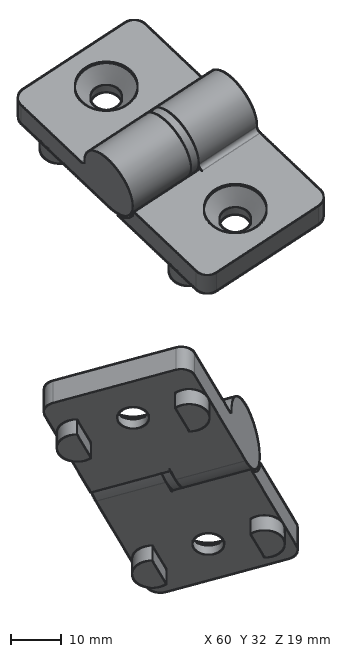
import cadquery as cq
import math

length = 60.0
width = 32.0
plate_thickness = 6.0
corner_radius = 2.9

knuckle_radius = 7.5
axis_height = knuckle_radius
fillet_radius = 1.0
clearance_radius = 8.0
washer_thickness = 2.0

hole_offset = length / 3
bore_diameter = 6.3
sink_diameter = 12.4
lip_depth = 0.5
sink_depth = (sink_diameter - bore_diameter) / 2

peg_radius = 4.0
peg_length = 4.0
peg_depth = 5.5


def extrude_y(profile, start, end):
    """Extrude an XZ profile between two Y positions."""
    return profile.extrude(start - end).translate((0, start, 0))


def axis_cylinder(radius, start, end):
    """Cylinder about the knuckle axis between two Y positions."""
    return extrude_y(cq.Workplane("XZ").center(0, axis_height).circle(radius), start, end)


def make_plate():
    """Left-hand plate, reaching from its outer end to the knuckle axis."""
    return (
        cq.Workplane("XY")
        .rect(length, width)
        .extrude(plate_thickness)
        .edges("|Z")
        .fillet(corner_radius)
        .intersect(cq.Workplane("XY").box(length, width, length).translate((-length / 2, 0, 0)))
    )


def make_root_fillet(start, end):
    """Concave fillet tangent to the plate top and the knuckle."""
    center_z = plate_thickness + fillet_radius
    center_distance = knuckle_radius + fillet_radius
    drop = axis_height - center_z
    center_x = -math.sqrt(center_distance**2 - drop**2)
    contact_x = center_x * knuckle_radius / center_distance
    contact_z = axis_height - drop * knuckle_radius / center_distance
    diagonal = fillet_radius * math.sqrt(0.5)
    profile = (
        cq.Workplane("XZ")
        .moveTo(center_x, plate_thickness)
        .threePointArc((center_x + diagonal, center_z - diagonal), (contact_x, contact_z))
        .lineTo(0, axis_height)
        .lineTo(0, plate_thickness)
        .close()
    )
    return extrude_y(profile, start, end)


def make_screw_hole():
    """Through bore with a countersink and a short cylindrical lip."""
    bore_radius = bore_diameter / 2
    sink_radius = sink_diameter / 2
    lip_bottom = plate_thickness - lip_depth
    return (
        cq.Workplane("XZ")
        .polyline([
            (0, 0),
            (bore_radius, 0),
            (bore_radius, lip_bottom - sink_depth),
            (sink_radius, lip_bottom),
            (sink_radius, plate_thickness),
            (0, plate_thickness),
        ])
        .close()
        .revolve(360, (0, 0, 0), (0, 1, 0))
        .translate((-hole_offset, 0, 0))
    )


def make_peg():
    """Round peg tangent to the front edge, cut flat on its inner side."""
    front = -width / 2
    round_peg = (
        cq.Workplane("XY")
        .center(-hole_offset, front + peg_radius)
        .circle(peg_radius)
        .extrude(-peg_length)
    )
    kept_region = (
        cq.Workplane("XY")
        .box(length, peg_depth, peg_length, centered=(True, False, False))
        .translate((0, front, -peg_length))
    )
    return round_peg.intersect(kept_region)


def make_leaf():
    """Left leaf, with its knuckle at the front and clearance behind it."""
    front = -width / 2
    back = width / 2
    knuckle_end = -washer_thickness / 2
    peg = make_peg()
    return (
        make_plate()
        .cut(axis_cylinder(clearance_radius, knuckle_end, back))
        .cut(
            cq.Workplane("XY")
            .box(knuckle_radius / 2, back - knuckle_end, plate_thickness, centered=(True, False, False))
            .translate((0, knuckle_end, 0))
        )
        .union(axis_cylinder(knuckle_radius, front, knuckle_end))
        .union(make_root_fillet(front, knuckle_end))
        .cut(make_screw_hole())
        .union(peg)
        .union(peg.mirror("XZ"))
    )


def make_washer():
    """Spacer disc between the two knuckles."""
    return axis_cylinder(knuckle_radius, -washer_thickness / 2, washer_thickness / 2)


leaves = [make_leaf().rotate((0, 0, 0), (0, 0, 1), angle) for angle in (0, 180)]
washer = make_washer()

result = cq.Compound.makeCompound([*(leaf.val() for leaf in leaves), washer.val()])